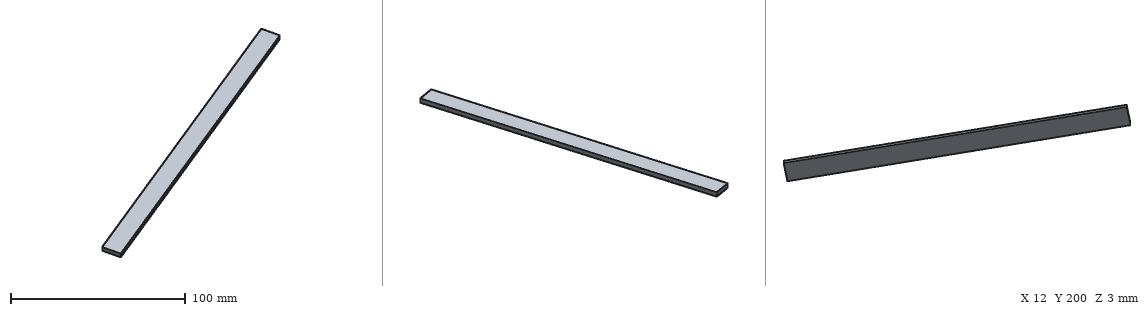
import cadquery as cq

width = 12.0
length = 200.0
thickness = 3.0

result = cq.Workplane("XY").box(width, length, thickness)